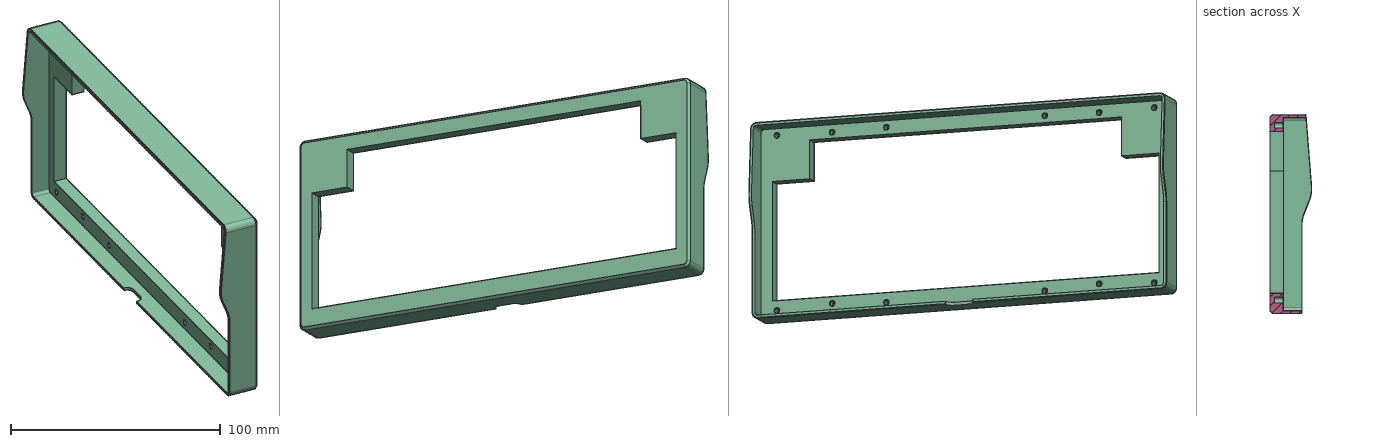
import cadquery as cq

width = 210.3
depth = 20.0
height = 94.8
back_y = depth / 2
top_z = height / 2
bottom_z = -top_z

corner_radius = 3.0
wall = 1.5
plate_thickness = 6.5
back_chamfer = 1.3
front_chamfer = 0.32

top_depth = 17.2
bottom_depth = 15.3
cheek_z = 9.7
cheek_overshoot = 0.23
step_z = -2.5
cheek_radius = 14.7
step_radius = 14.7

window_half_width = 98.0
window_top_z = 39.3
window_bottom_z = -37.6
corner_block = 19.0

hole_diameter = 2.5
mouth_bevel = 0.15
hole_depth = 4.2
hole_places = [
    (95.7, 42.7, -42.5),
    (67.7, 42.3, -41.0),
    (40.2, 42.7, -42.5),
]

notch_width = 13.9
notch_depth = 3.5
notch_radius = 3.4


def make_side_prism():
    """Side profile of the frame, extruded over the full width."""
    y_top = back_y - top_depth
    y_bottom = back_y - bottom_depth
    y_cheek = back_y - depth - cheek_overshoot
    prism = (
        cq.Workplane("YZ", origin=(-width / 2, 0, 0))
        .moveTo(back_y, bottom_z)
        .lineTo(back_y, top_z)
        .lineTo(y_top, top_z)
        .lineTo(y_cheek, cheek_z)
        .lineTo(y_bottom, step_z)
        .lineTo(y_bottom, bottom_z)
        .close()
        .extrude(width)
    )
    cheek_edge = cq.selectors.NearestToPointSelector((0, y_cheek, cheek_z))
    step_edge = cq.selectors.NearestToPointSelector((0, y_bottom, step_z))
    return prism.edges(cheek_edge).fillet(cheek_radius).edges(step_edge).fillet(step_radius)


def make_rounded_block(inset, y_back):
    """Rounded rectangle, inset from the outer outline, running forward from y_back."""
    return (
        cq.Workplane("XZ", origin=(0, y_back, 0))
        .rect(width - 2 * inset, height - 2 * inset)
        .extrude(2 * depth)
        .edges("|Y")
        .fillet(corner_radius - inset)
    )


def make_window():
    """Window opening with the two upper corner blocks left out."""
    step_x = window_half_width - corner_block
    shoulder_z = window_top_z - corner_block
    return (
        cq.Workplane("XZ", origin=(0, back_y, 0))
        .moveTo(-window_half_width, window_bottom_z)
        .lineTo(window_half_width, window_bottom_z)
        .lineTo(window_half_width, shoulder_z)
        .lineTo(step_x, shoulder_z)
        .lineTo(step_x, window_top_z)
        .lineTo(-step_x, window_top_z)
        .lineTo(-step_x, shoulder_z)
        .lineTo(-window_half_width, shoulder_z)
        .close()
        .extrude(plate_thickness)
    )


def make_holes():
    """Blind screw holes with bevelled mouths, mirrored left to right, in the upper and lower rails."""
    points = [
        (side * x, z)
        for x, upper_z, lower_z in hole_places
        for side in (-1, 1)
        for z in (upper_z, lower_z)
    ]
    mouth_y = back_y - plate_thickness
    hole_radius = hole_diameter / 2
    hole = (
        cq.Workplane("XY")
        .lineTo(hole_radius + mouth_bevel, 0)
        .lineTo(hole_radius, mouth_bevel)
        .lineTo(hole_radius, hole_depth)
        .lineTo(0, hole_depth)
        .close()
        .revolve(360, (0, 0, 0), (0, 1, 0))
        .val()
    )
    holes = cq.Workplane("XY")
    for x, z in points:
        holes = holes.add(hole.moved(cq.Location(cq.Vector(x, mouth_y, z))))
    return holes.combine()


def make_notch():
    """Notch with rounded inner corners, cut through the bottom wall only."""
    front_y = back_y - bottom_depth
    return (
        cq.Workplane("XY", origin=(0, front_y, bottom_z))
        .rect(notch_width, 2 * notch_depth)
        .extrude(wall)
        .edges("|Z and >Y")
        .fillet(notch_radius)
    )


def chamfer_front_rim(body):
    """Break the outer edge of the front rim, leaving the creases across the front sharp."""
    inner_box = cq.selectors.BoxSelector(
        (-width / 2 + corner_radius, -depth, bottom_z + corner_radius),
        (width / 2 - corner_radius, depth, top_z - corner_radius),
    )
    front_zone = cq.selectors.BoxSelector(
        (-width, -depth, -height),
        (width, back_y - bottom_depth + front_chamfer, height),
    )
    return body.edges(front_zone - inner_box).chamfer(front_chamfer)


outer = make_rounded_block(0, back_y).faces(">Y").chamfer(back_chamfer)
cavity = make_rounded_block(wall, back_y - plate_thickness)

shell = make_side_prism().intersect(outer)
shell = chamfer_front_rim(shell)
result = shell.cut(cavity)
result = result.cut(make_window()).cut(make_holes()).cut(make_notch())